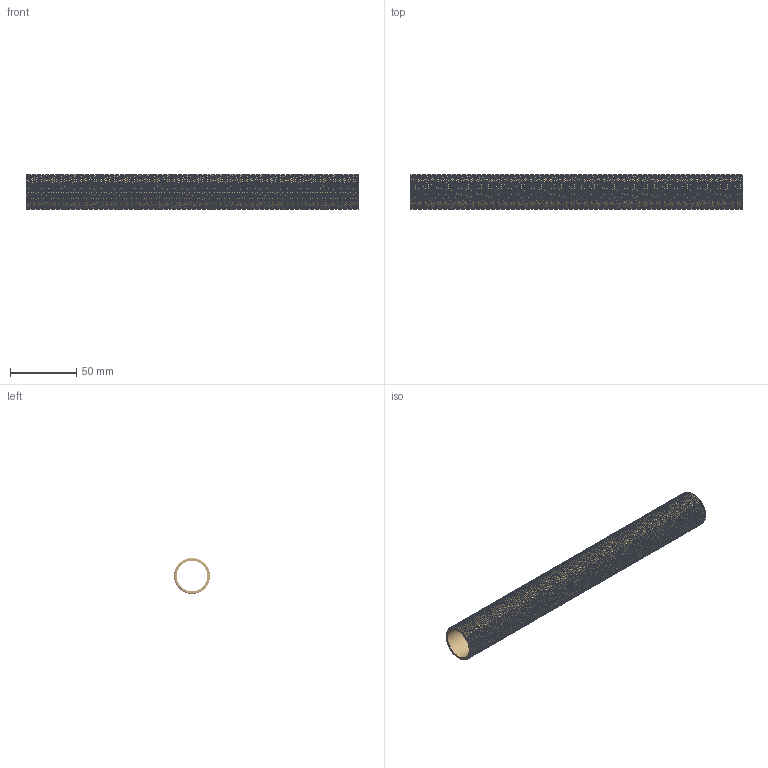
import cadquery as cq
import math

length = 250.0
major_diameter = 26.9
bore_diameter = 23.0
pitch = 1.25
start_angle = -90.0

flank_angle = math.radians(30)
crest_width = pitch / 8
root_width = pitch / 4
thread_depth = (pitch - crest_width - root_width) / 2 / math.tan(flank_angle)

major_radius = major_diameter / 2
minor_radius = major_radius - thread_depth
bore_radius = bore_diameter / 2

turns_per_stretch = 4
stretch_length = turns_per_stretch * pitch
stretch_count = round(length / stretch_length)

ridge_overlap = 0.05
face_tolerance = 1e-4
joining_tolerance = 1e-3


def rod(radius, height):
    """Plain round rod along Z, standing on z = 0."""
    return cq.Workplane("XY").circle(radius).extrude(height)


def thread_ridge():
    """Helical ridge around Z, reaching at least half a turn past both ends of the stretch."""
    helix = cq.Wire.makeHelix(pitch, stretch_length + 2 * pitch, minor_radius)
    foot_radius = minor_radius - ridge_overlap
    crest_half = crest_width / 2
    foot_half = crest_half + (major_radius - foot_radius) * math.tan(flank_angle)
    ridge = (
        cq.Workplane("XZ")
        .moveTo(foot_radius, -foot_half)
        .lineTo(major_radius, -crest_half)
        .lineTo(major_radius, crest_half)
        .lineTo(foot_radius, foot_half)
        .close()
        .sweep(cq.Workplane(obj=helix), isFrenet=True)
    )
    return ridge.translate((0, 0, -pitch))


def threaded_stretch():
    """Threaded tube along Z, one stretch long and cut flat at both ends."""
    trimmed_ridge = thread_ridge().intersect(rod(2 * major_radius, stretch_length))
    threaded_rod = rod(minor_radius, stretch_length).union(trimmed_ridge)
    return threaded_rod.cut(rod(bore_radius, stretch_length))


def is_end_face(face, z):
    """Whether the face is the flat end face at height z."""
    box = face.BoundingBox()
    return abs(box.zmin - z) < face_tolerance and abs(box.zmax - z) < face_tolerance


def is_bore_face(face):
    return face.BoundingBox().xmax < bore_radius + face_tolerance


def threaded_tube():
    """Full-length tube along Z: repeated thread faces, two end faces and one bore face."""
    faces = threaded_stretch().faces().vals()
    bottom = [face for face in faces if is_end_face(face, 0)]
    top = [face for face in faces if is_end_face(face, stretch_length)]
    thread = [face for face in faces if face not in bottom + top and not is_bore_face(face)]

    skin = bottom + [face.translate(cq.Vector(0, 0, length - stretch_length)) for face in top]
    skin += rod(bore_radius, length).faces("%CYLINDER").vals()
    for index in range(stretch_count):
        offset = cq.Vector(0, 0, index * stretch_length)
        skin += [face.translate(offset) for face in thread]

    shell = cq.occ_impl.shapes.shell(*skin, tol=joining_tolerance)
    return cq.Workplane(obj=cq.occ_impl.shapes.solid(shell))


turned_tube = threaded_tube().rotate((0, 0, 0), (0, 0, 1), start_angle)
result = turned_tube.rotate((0, 0, 0), (0, 1, 0), 90)